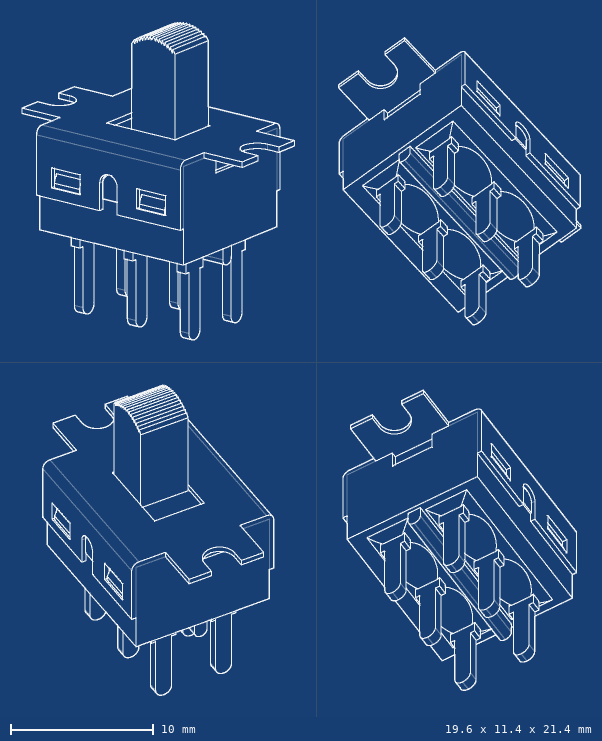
import cadquery as cq
import math


total_height = 21.45

cover_length = 12.77
cover_width = 11.44
plate_thickness = 0.4
skirt_height = 5.05
bend_radius = 0.58
opening_length = 6.07
opening_width = 4.0

tab_span = 19.55
tab_width = 6.0
notch_diameter = 2.4
notch_depth = 2.19

body_bottom = -7.7
body_width = 10.73
end_recess_width = 3.26
end_recess_floor = -1.87
end_recess_depth = 0.39

window_length = 2.55
window_spacing = 7.55
window_top = -2.75
window_bottom = -4.23
catch_length = 2.23
catch_top = -3.25
catch_edge = -3.88
catch_height = 0.24

slot_width = 1.55
slot_top = -2.23
key_width = 1.42
key_top = -2.34
key_height = 0.1

slider_length = 3.86
slider_width = 3.82
slider_clearance = 0.06
slider_crown_radius = 2.81
slider_top = 7.19
grip_steps = 8
grip_depth = 0.25
grip_wall_lean = 0.06

pin_pitch = 4.7
pin_row_spacing = 4.83
pin_thickness = 0.77
pin_width = 1.29
pin_bottom = slider_top - total_height
shoulder_width = 2.0
shoulder_bottom = -9.15
mound_height = 0.62
mound_base_reach_x = 1.07
mound_base_reach_y = 1.7
mound_tip_reach_x = 0.25
mound_tip_reach_y = 0.65
mound_bulge = 0.05
mound_saddle_height = 0.2

tip_rounding = 0.99

rib_length = 12.23
rib_width = 1.0
rib_bottom = -9.15


def box(length, width, bottom, top, x=0, y=0):
    """Box centred on (x, y) between two heights."""
    return cq.Workplane("XY", origin=(x, y, bottom)).box(length, width, top - bottom, (True, True, False))


def arched_block(width, depth, bottom, top):
    """Block along Y whose upper end is a half round."""
    radius = width / 2
    return (
        cq.Workplane("XZ")
        .moveTo(-radius, bottom)
        .lineTo(-radius, top - radius)
        .threePointArc((0, top), (radius, top - radius))
        .lineTo(radius, bottom)
        .close()
        .extrude(depth / 2, both=True)
    )


def make_cover():
    """Bent sheet with two skirts that hug the body, end tabs and the slider opening."""
    shell = box(cover_length, cover_width, -skirt_height, 0).edges("|X and >Z").fillet(bend_radius)
    shell = shell.cut(box(cover_length, body_width, -skirt_height, -plate_thickness))
    for side in (-1, 1):
        window_x = side * window_spacing / 2
        shell = shell.cut(box(window_length, cover_width, window_bottom, window_top, window_x))
    shell = shell.cut(arched_block(slot_width, cover_width, -skirt_height, slot_top))

    shell = shell.union(box(tab_span, tab_width, -plate_thickness, 0))
    for side in (-1, 1):
        notch = cq.Workplane("XY").center(side * tab_span / 2, 0)
        notch = notch.slot2D(2 * notch_depth, notch_diameter).extrude(-plate_thickness)
        shell = shell.cut(notch)
    return shell.cut(box(opening_length, opening_width, -plate_thickness, 0))


def make_catch(x, side):
    """Ramp that widens downwards from the body wall to a flat edge."""
    wall = side * body_width / 2
    crest = wall + side * catch_height
    outline = [
        (0, catch_top),
        (wall, catch_top),
        (crest, catch_edge),
        (crest, window_bottom),
        (0, window_bottom),
    ]
    ramp = cq.Workplane("YZ", origin=(x, 0, 0)).polyline(outline).close()
    return ramp.extrude(catch_length / 2, both=True)


def make_body():
    """Block with recessed ends, four snap catches and the two arched keys."""
    body = box(cover_length, body_width, body_bottom, -plate_thickness)
    for end in (-1, 1):
        recess_x = end * (cover_length - end_recess_depth) / 2
        recess = box(end_recess_depth, end_recess_width, end_recess_floor, -plate_thickness, recess_x)
        body = body.cut(recess)
    for end in (-1, 1):
        for side in (-1, 1):
            body = body.union(make_catch(end * window_spacing / 2, side))
    return body.union(arched_block(key_width, body_width + 2 * key_height, window_bottom, key_top))


def make_slider():
    """Upright slider with a crowned top cut into saw-tooth finger grips."""
    half_length = slider_length / 2
    step_angle = math.asin(half_length / slider_crown_radius) / grip_steps

    def crown_point(step):
        angle = step * step_angle
        drop = slider_crown_radius * (1 - math.cos(angle))
        return slider_crown_radius * math.sin(angle), slider_top - drop

    half_profile = []
    for step in range(1, grip_steps):
        peak_x, peak_z = crown_point(step)
        half_profile.append((peak_x - grip_wall_lean, peak_z - grip_depth))
        half_profile.append((peak_x, peak_z))
    edge_x, edge_z = crown_point(grip_steps)
    half_profile.append((edge_x, edge_z - grip_depth / 2))

    mirrored = [(-x, z) for x, z in reversed(half_profile)]
    crown = mirrored + [(0, slider_top)] + half_profile
    outline = [(-half_length, -plate_thickness)] + crown + [(half_length, -plate_thickness)]
    slider_x = opening_length / 2 - slider_clearance - half_length
    profile = cq.Workplane("XZ", origin=(slider_x, 0, 0)).polyline(outline).close()
    return profile.extrude(slider_width / 2, both=True)


def make_pin(x, y):
    """Flat pin with a wide shoulder below the body and a rounded tip."""
    shoulder = box(pin_thickness, shoulder_width, shoulder_bottom, body_bottom, x, y)
    blade = box(pin_thickness, pin_width, pin_bottom, body_bottom, x, y)
    blade = blade.edges("|X and <Z").fillet(tip_rounding * pin_width / 2)
    return shoulder.union(blade)


def flank_middle(base_reach, tip_reach):
    """Middle of a mound flank, bowed outwards and down from the straight slope."""
    return (base_reach + tip_reach) / 2 + mound_bulge, body_bottom - mound_height / 2 - mound_bulge


def make_mounds(row_y):
    """Three merged mounds: a scalloped profile along X, trimmed by a domed profile along Y."""
    tip_z = body_bottom - mound_height
    base_x = pin_pitch + mound_base_reach_x
    tip_x = pin_pitch + mound_tip_reach_x
    inner_tip_x = pin_pitch - mound_tip_reach_x
    saddle_x = pin_pitch / 2
    saddle_z = body_bottom - mound_saddle_height
    end_x, end_z = flank_middle(base_x, tip_x)
    scallops = (
        cq.Workplane("XZ", origin=(0, row_y, 0))
        .moveTo(-base_x, body_bottom)
        .threePointArc((-end_x, end_z), (-tip_x, tip_z))
        .lineTo(-inner_tip_x, tip_z)
        .threePointArc((-saddle_x, saddle_z), (-mound_tip_reach_x, tip_z))
        .lineTo(mound_tip_reach_x, tip_z)
        .threePointArc((saddle_x, saddle_z), (inner_tip_x, tip_z))
        .lineTo(tip_x, tip_z)
        .threePointArc((end_x, end_z), (base_x, body_bottom))
        .close()
        .extrude(mound_base_reach_y, both=True)
    )
    side_y, side_z = flank_middle(mound_base_reach_y, mound_tip_reach_y)
    dome = (
        cq.Workplane("YZ", origin=(0, row_y, 0))
        .moveTo(-mound_base_reach_y, body_bottom)
        .threePointArc((-side_y, side_z), (-mound_tip_reach_y, tip_z))
        .lineTo(mound_tip_reach_y, tip_z)
        .threePointArc((side_y, side_z), (mound_base_reach_y, body_bottom))
        .close()
        .extrude(base_x, both=True)
    )
    return scallops.intersect(dome)


def make_rib():
    """Long rib with a rounded lower edge."""
    rib = box(rib_length, rib_width, rib_bottom, body_bottom)
    return rib.edges("|X and <Z").fillet(tip_rounding * rib_width / 2)


result = make_body()
for part in (make_cover(), make_slider(), make_rib()):
    result = result.union(part, clean=False)
for row in (-1, 1):
    row_y = row * pin_row_spacing / 2
    result = result.union(make_mounds(row_y), clean=False)
    for column in (-1, 0, 1):
        result = result.union(make_pin(column * pin_pitch, row_y), clean=False)